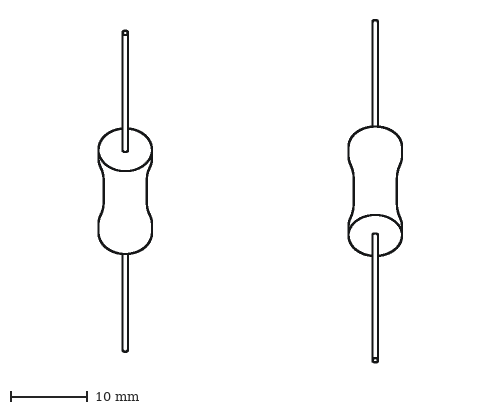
import cadquery as cq
import math

total_length = 68.6
lead_diameter = 0.75
body_length = 18.0
cap_diameter = 7.0
cap_length = 2.0
waist_diameter = 5.6
waist_length = 4.8

body_top = body_length / 2
cap_bottom = body_top - cap_length
waist_top = waist_length / 2
cap_radius = cap_diameter / 2
waist_radius = waist_diameter / 2

flare_height = cap_bottom - waist_top
flare_width = cap_radius - waist_radius
flare_radius = (flare_height**2 + flare_width**2) / (2 * flare_width)
flare_mid_height = waist_top + flare_height / 2
flare_mid_radius = waist_radius + flare_radius - math.sqrt(flare_radius**2 - (flare_height / 2) ** 2)


def make_body():
    """Revolve two straight end caps joined by concave flares to a narrow waist."""
    profile = (
        cq.Workplane("XZ")
        .moveTo(0, -body_top)
        .lineTo(cap_radius, -body_top)
        .lineTo(cap_radius, -cap_bottom)
        .threePointArc((flare_mid_radius, -flare_mid_height), (waist_radius, -waist_top))
        .lineTo(waist_radius, waist_top)
        .threePointArc((flare_mid_radius, flare_mid_height), (cap_radius, cap_bottom))
        .lineTo(cap_radius, body_top)
        .lineTo(0, body_top)
        .close()
    )
    return profile.revolve(360, (0, 0, 0), (0, 1, 0))


def make_lead():
    """One straight wire running through the body along its axis."""
    return cq.Workplane("XY").circle(lead_diameter / 2).extrude(total_length / 2, both=True)


result = make_body().union(make_lead())